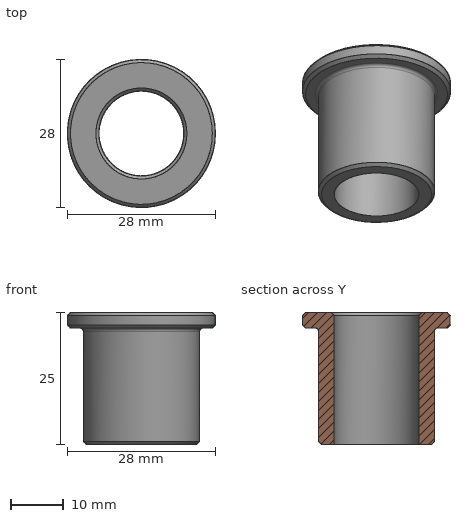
import cadquery as cq

total_height = 25.0
flange_diameter = 28.0
flange_thickness = 3.0
sleeve_diameter = 22.0
bore_diameter = 16.0
edge_chamfer = 0.6
neck_fillet = 0.6

sleeve_height = total_height - flange_thickness


def make_sleeve():
    """Cylindrical sleeve with a chamfered lower rim, running up to the flange."""
    sleeve = cq.Workplane("XY").circle(sleeve_diameter / 2).extrude(sleeve_height)
    return sleeve.faces("<Z").edges().chamfer(edge_chamfer)


def make_flange():
    """Flange disc with both rims chamfered."""
    flange = cq.Workplane("XY").workplane(offset=sleeve_height)
    flange = flange.circle(flange_diameter / 2).extrude(flange_thickness)
    return flange.faces("<Z or >Z").edges().chamfer(edge_chamfer)


def round_neck(body):
    """Fillet the inside corner where the sleeve meets the flange."""
    corner = cq.selectors.RadiusNthSelector(0)
    return body.faces("<Z[1]").edges(corner).fillet(neck_fillet)


def cut_bore(body):
    """Through bore with a chamfered mouth on the flange face."""
    body = body.faces(">Z").workplane().circle(bore_diameter / 2).cutThruAll()
    mouth = cq.selectors.RadiusNthSelector(0)
    return body.faces(">Z").edges(mouth).chamfer(edge_chamfer)


result = cut_bore(round_neck(make_sleeve().union(make_flange())))